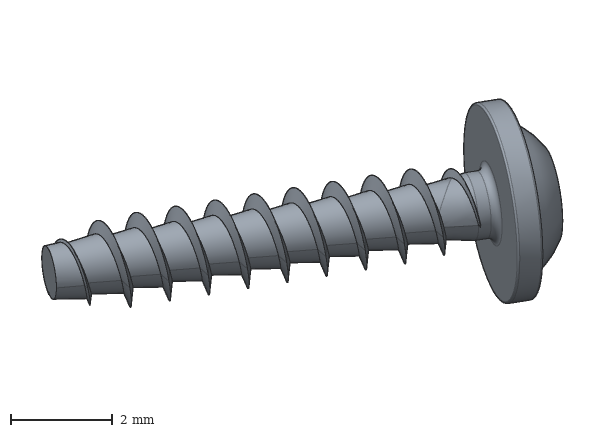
import cadquery as cq
import math

total_length = 10.2
head_diameter = 4.0
head_height = 1.2
flange_thickness = 0.52
flange_edge_radius = 0.04
dome_base_radius = 1.6
dome_top_radius = 0.97

shank_length = total_length - head_height
neck_radius = 0.67
neck_fillet = 0.17
neck_length = 0.43

cone_end_radius = 0.53
core_narrow_radius = 0.54
core_wide_radius = 0.62
tip_narrow_radius = 0.51
tip_wide_radius = 0.53

ten_turn_advance = 8.0
pitch = ten_turn_advance / 10
thread_start = 0.41
thread_diameter = 1.83
crest_radius = thread_diameter / 2
crest_start_radius = 0.74
flank_slope = 0.31
lead_in_turns = 1.15
runout_turns = 1.55
core_tip_turns = 1.0
faded_crest_height = 0.02
least_tip_flank = 0.01
tip_turn = (shank_length - thread_start) / pitch
whole_turns = math.ceil(tip_turn)
points_per_turn = 24


def tip_blend(start_radius, tip_radius, turn, span):
    """Radius changing linearly to its tip value over the last turns of the given span."""
    fraction = min(max((turn - tip_turn + span) / span, 0), 1)
    return start_radius + (tip_radius - start_radius) * fraction


def crest_at(turn):
    """Crest radius: rises at the neck, stays constant, then fades out at the tip."""
    rise = min(turn / lead_in_turns, 1)
    entry_radius = crest_start_radius + (crest_radius - crest_start_radius) * rise
    return tip_blend(entry_radius, tip_narrow_radius + faded_crest_height, turn, runout_turns)


def crest_line(turn):
    """Radius and axial offset of the thread crest."""
    return crest_at(turn), 0


def head_root_line(turn):
    """Where the head-side flank meets the narrow end of the core taper."""
    radius = tip_blend(core_narrow_radius, tip_narrow_radius, turn, core_tip_turns)
    return radius, -flank_slope * (crest_at(turn) - radius)


def tip_root_line(turn):
    """Where the tip-side flank meets the wide end of the core taper."""
    wide_radius = tip_blend(core_wide_radius, tip_wide_radius, turn, core_tip_turns)
    radius = min(wide_radius, crest_at(turn) - least_tip_flank)
    return radius, flank_slope * (crest_at(turn) - radius)


def helix_turns(line, count):
    """One edge per turn of the helix that follows the given line toward the tip."""
    parameters = [i / points_per_turn for i in range(points_per_turn + 1)]
    edges = []
    for first_turn in range(count):
        points = []
        for step in parameters:
            angle = 2 * math.pi * step
            radius, offset = line(first_turn + step)
            depth = thread_start + pitch * (first_turn + step) + offset
            points.append(cq.Vector(radius * math.cos(angle), -depth, radius * math.sin(angle)))
        edges.append(cq.Edge.makeSpline(points, parameters=parameters))
    return edges


def helical_end(root, crest_point, tip_root_point):
    """Ramp from one root turn in to the axis, and the flat step between its two ends."""
    outer_start = root.startPoint()
    outer_end = root.endPoint()
    axis_start = cq.Vector(0, outer_start.y, 0)
    axis_end = cq.Vector(0, outer_end.y, 0)
    ramp = cq.Face.makeRuledSurface(cq.Edge.makeLine(axis_start, axis_end), root)
    corners = [axis_start, outer_start, crest_point, tip_root_point, outer_end, axis_end]
    step = cq.Face.makeFromWires(cq.Wire.makePolygon(corners, close=True))
    return [ramp, step]


def make_threaded_core():
    """Solid core and thread, bounded by two flanks and a tapered strip per turn."""
    head_roots = helix_turns(head_root_line, whole_turns + 1)
    crests = helix_turns(crest_line, whole_turns)
    tip_roots = helix_turns(tip_root_line, whole_turns)
    faces = []
    for i in range(whole_turns):
        faces.append(cq.Face.makeRuledSurface(head_roots[i], crests[i]))
        faces.append(cq.Face.makeRuledSurface(crests[i], tip_roots[i]))
        faces.append(cq.Face.makeRuledSurface(tip_roots[i], head_roots[i + 1]))
    faces += helical_end(head_roots[0], crests[0].startPoint(), tip_roots[0].startPoint())
    faces += helical_end(head_roots[-1], crests[-1].endPoint(), tip_roots[-1].endPoint())
    return cq.Workplane(cq.Solid.makeSolid(cq.Shell.makeShell(faces)).fix())


def make_body():
    """Revolved head, filleted neck and lead-in cone."""
    dome_height = head_height - flange_thickness
    center_drop = (dome_base_radius**2 - dome_top_radius**2 - dome_height**2) / (2 * dome_height)
    sphere_radius = math.hypot(dome_base_radius, center_drop)
    dome_mid_height = dome_height / 2
    dome_mid_radius = math.sqrt(sphere_radius**2 - (center_drop + dome_mid_height) ** 2)
    flange_radius = head_diameter / 2
    edge = flange_edge_radius
    return (
        cq.Workplane("XY")
        .moveTo(0, head_height)
        .lineTo(dome_top_radius, head_height)
        .threePointArc(
            (dome_mid_radius, flange_thickness + dome_mid_height),
            (dome_base_radius, flange_thickness),
        )
        .lineTo(flange_radius - edge, flange_thickness)
        .radiusArc((flange_radius, flange_thickness - edge), edge)
        .lineTo(flange_radius, edge)
        .radiusArc((flange_radius - edge, 0), edge)
        .lineTo(neck_radius + neck_fillet, 0)
        .radiusArc((neck_radius, -neck_fillet), -neck_fillet)
        .lineTo(neck_radius, -neck_length)
        .lineTo(cone_end_radius, -neck_length - pitch)
        .lineTo(0, -neck_length - pitch)
        .close()
        .revolve(360, (0, 0, 0), (0, 1, 0))
    )


def make_tip_cutter():
    """Block removing everything past the flat tip."""
    cutter_depth = 3 * pitch
    return (
        cq.Workplane("XZ", origin=(0, -shank_length, 0))
        .rect(head_diameter, head_diameter)
        .extrude(cutter_depth)
    )


threaded_core = make_threaded_core().cut(make_tip_cutter())
result = make_body().union(threaded_core)